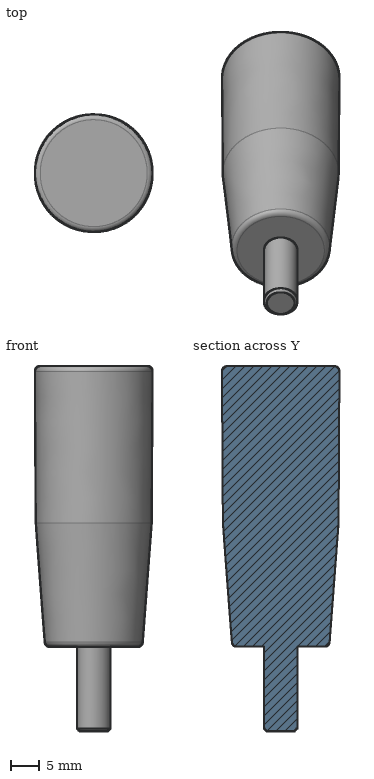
import cadquery as cq

total_height = 65.0
pin_length = 15.0
joint_height = 37.05

top_diameter = 21.0
joint_diameter = 20.7
base_diameter = 17.35
edge_radius = 1.0

pin_diameter = 6.0
pin_tip_diameter = 4.95
pin_chamfer = (pin_diameter - pin_tip_diameter) / 2


def make_grip():
    """Revolve the two-taper handle about Z and round its end edges."""
    grip = (
        cq.Workplane("XZ")
        .moveTo(0, pin_length)
        .lineTo(base_diameter / 2, pin_length)
        .lineTo(joint_diameter / 2, joint_height)
        .lineTo(top_diameter / 2, total_height)
        .lineTo(0, total_height)
        .close()
        .revolve(360, (0, 0, 0), (0, 1, 0))
    )
    return grip.faces("<Z or >Z").edges().fillet(edge_radius)


def make_pin():
    """Pin from Z = 0 up to the grip, chamfered at its free end."""
    pin = cq.Workplane("XY").circle(pin_diameter / 2).extrude(pin_length)
    return pin.faces("<Z").edges().chamfer(pin_chamfer)


result = make_grip().union(make_pin())